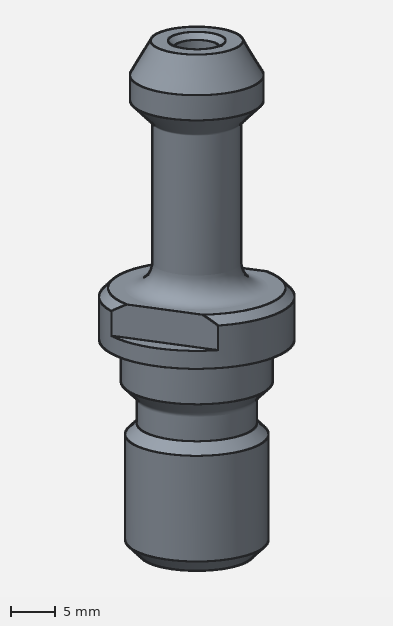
import cadquery as cq
import math

total_length = 60.0
bore_diameter = 5.0
bore_chamfer = 0.7

thread_radius = 16.0 / 2
thread_end_chamfer = 1.6
thread_top = 14.0

neck_radius = 13.45 / 2
neck_bottom = thread_top + thread_radius - neck_radius
neck_fillet = 0.7

pilot_radius = 17.0 / 2
pilot_bottom = 20.15
pilot_fillet = 0.65

collar_radius = 21.85 / 2
collar_bottom = 25.1
collar_thickness = 6.0
collar_top = collar_bottom + collar_thickness
collar_chamfer = 1.0
flat_width = 17.5
flat_ledge = 2.1
flat_bottom = collar_bottom + flat_ledge

shank_radius = 9.95 / 2
root_fillet = 3.0

head_radius = 14.95 / 2
head_bottom = 53.05
head_taper_bottom = 56.0
head_taper_angle = 30.0
head_fillet = 0.3

undercut_angle = math.radians(45)
neck_top = pilot_bottom - (pilot_radius - neck_radius)
shank_top = head_bottom - (head_radius - shank_radius)
head_taper_height = total_length - head_taper_bottom
head_top_radius = head_radius - head_taper_height * math.tan(math.radians(head_taper_angle))


def undercut_fillet(corner_radius, corner_z, fillet):
    """Start, middle and end of the arc easing a cylinder into a 45 degree cone above it."""
    tangent = fillet * math.tan(undercut_angle / 2)
    half_angle = undercut_angle / 2
    end_offset = tangent * math.sin(undercut_angle)
    start_z = corner_z - tangent
    start = (corner_radius, start_z)
    middle = (corner_radius + fillet * (1 - math.cos(half_angle)), start_z + fillet * math.sin(half_angle))
    end = (corner_radius + end_offset, corner_z + end_offset)
    return start, middle, end


def turned_body():
    neck_start, neck_middle, neck_end = undercut_fillet(neck_radius, neck_top, neck_fillet)
    head_start, head_middle, head_end = undercut_fillet(shank_radius, shank_top, head_fillet)
    profile = (
        cq.Workplane("XZ")
        .moveTo(0, 0)
        .lineTo(thread_radius - thread_end_chamfer, 0)
        .lineTo(thread_radius, thread_end_chamfer)
        .lineTo(thread_radius, thread_top)
        .lineTo(neck_radius, neck_bottom)
        .lineTo(*neck_start)
        .threePointArc(neck_middle, neck_end)
        .lineTo(pilot_radius, pilot_bottom)
        .lineTo(pilot_radius, collar_bottom - pilot_fillet)
        .radiusArc((pilot_radius + pilot_fillet, collar_bottom), pilot_fillet)
        .lineTo(collar_radius, collar_bottom)
        .lineTo(collar_radius, collar_top - collar_chamfer)
        .lineTo(collar_radius - collar_chamfer, collar_top)
        .lineTo(shank_radius + root_fillet, collar_top)
        .radiusArc((shank_radius, collar_top + root_fillet), root_fillet)
        .lineTo(*head_start)
        .threePointArc(head_middle, head_end)
        .lineTo(head_radius, head_bottom)
        .lineTo(head_radius, head_taper_bottom)
        .lineTo(head_top_radius, total_length)
        .lineTo(0, total_length)
        .close()
    )
    return profile.revolve(360, (0, 0, 0), (0, 1, 0))


def cut_wrench_flats(body):
    flat_depth = collar_radius - flat_width / 2
    flat_offset = (flat_width + flat_depth) / 2
    flat_cutters = (
        cq.Workplane("XY", origin=(0, 0, flat_bottom))
        .pushPoints([(0, -flat_offset), (0, flat_offset)])
        .rect(2 * collar_radius, flat_depth)
        .extrude(collar_top - flat_bottom)
    )
    return body.cut(flat_cutters)


def cut_bore(body):
    """Through bore, countersunk at 45 degrees in the head."""
    return (
        body.faces(">Z")
        .workplane(origin=(0, 0, total_length))
        .cskHole(bore_diameter, bore_diameter + 2 * bore_chamfer, 90)
    )


result = cut_bore(cut_wrench_flats(turned_body()))